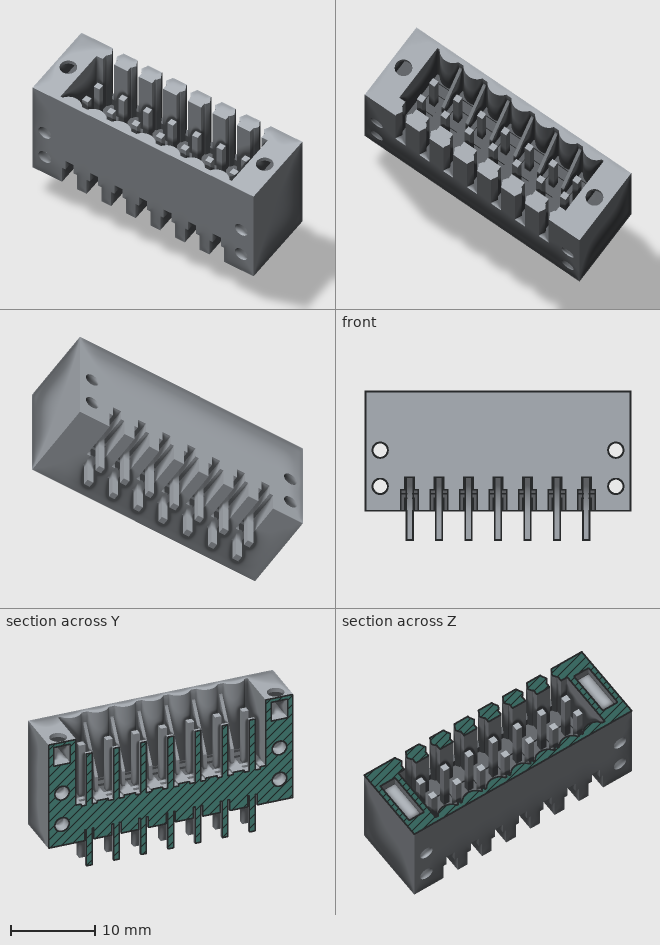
import cadquery as cq

length = 31.5
width = 10.5
height = 14.2
front_y = -width / 2
back_y = width / 2

columns = 7
pitch = 3.5
column_xs = [(i - (columns - 1) / 2) * pitch for i in range(columns)]
front_row_y = -1.5
row_spacing = 2.5
back_row_y = front_row_y + row_spacing

pin_size = 0.8
pin_tip_z = 11.9
pin_tail_length = 3.5

cavity_length = 24.4
cavity_floor_z = 5.2
front_wall = 0.65
back_wall = 2.1
cavity_front_y = front_y + front_wall
cavity_back_y = back_y - back_wall

ridge_chord = 2.75
ridge_rise = 0.75
ridge_crown_y = cavity_front_y + ridge_rise

slot_mouth_width = 1.6
slot_mouth_depth = 0.75
slot_shoulder_width = 1.35
slot_waist_width = 0.7
slot_waist_depth = 1.25
slot_outer_width = 1.45
slot_outer_depth = 0.15
slot_sill_rise = 1.0

recess_depth = 0.3
pin_recess_size = 2.0
strip_recess_length = 2.75
strip_recess_width = 0.65
strip_recess_gap = 0.1

rib_thickness = 0.4
rib_length = 3.65
rib_end_height = 2.0
rib_rise = 5.6

relief_wide = 2.1
relief_narrow = 1.15
front_relief_height = 2.5
front_relief_end_y = front_row_y + pin_size / 2
middle_relief_height = 2.0
middle_relief_end_y = (front_row_y + back_row_y) / 2
back_relief_height = 1.5
back_relief_end_y = back_row_y + pin_size / 2
pin_relief_height = 4.0

mount_x = 14.0
cross_hole_diameter = 1.8
cross_hole_zs = (2.9, 7.2)
screw_hole_diameter = 2.1
screw_hole_y = -0.2
screw_hole_depth = 0.55
nut_pocket_length = 6.0
nut_pocket_height = 2.5


def block(x_center, x_size, y_min, y_max, z_min, z_max):
    """Axis-aligned box, centred along X and bounded along Y and Z."""
    box = cq.Workplane("XY").box(x_size, y_max - y_min, z_max - z_min, centered=(True, False, False))
    return box.translate((x_center, y_min, z_min))


def ridge(x):
    """Circular-segment ridge on the front wall, full cavity height."""
    half = ridge_chord / 2
    profile = (
        cq.Workplane("XY", origin=(x, 0, cavity_floor_z))
        .moveTo(-half, cavity_front_y)
        .threePointArc((0, ridge_crown_y), (half, cavity_front_y))
        .lineTo(half, front_y + front_wall / 2)
        .lineTo(-half, front_y + front_wall / 2)
        .close()
    )
    return profile.extrude(height - cavity_floor_z)


def coding_slot(x):
    """Slot that narrows to a waist and flares again towards the back face."""
    shoulder_y = cavity_back_y + slot_mouth_depth
    waist_y = cavity_back_y + slot_waist_depth
    mouth = block(x, slot_mouth_width, cavity_back_y, shoulder_y, cavity_floor_z, height)
    neck = (
        cq.Workplane("XY", origin=(x, 0, cavity_floor_z))
        .moveTo(-slot_shoulder_width / 2, shoulder_y)
        .lineTo(slot_shoulder_width / 2, shoulder_y)
        .lineTo(slot_waist_width / 2, waist_y)
        .lineTo(-slot_waist_width / 2, waist_y)
        .close()
        .extrude(height - cavity_floor_z)
    )
    sill_z = cavity_floor_z + slot_sill_rise
    flare = (
        cq.Workplane("XY", origin=(x, 0, sill_z))
        .moveTo(-slot_waist_width / 2, waist_y)
        .lineTo(slot_waist_width / 2, waist_y)
        .lineTo(slot_outer_width / 2, back_y - slot_outer_depth)
        .lineTo(slot_outer_width / 2, back_y)
        .lineTo(-slot_outer_width / 2, back_y)
        .lineTo(-slot_outer_width / 2, back_y - slot_outer_depth)
        .close()
        .extrude(height - sill_z)
    )
    return mouth.union(neck).union(flare)


def floor_recesses(x):
    """Square recess around each pin and a strip recess behind the ridge."""
    bottom_z = cavity_floor_z - recess_depth
    half = pin_recess_size / 2
    strip_y = ridge_crown_y + strip_recess_gap
    recesses = block(x, strip_recess_length, strip_y, strip_y + strip_recess_width, bottom_z, cavity_floor_z)
    for y in (front_row_y, back_row_y):
        recesses = recesses.union(block(x, pin_recess_size, y - half, y + half, bottom_z, cavity_floor_z))
    return recesses


def rib(x):
    """Rib that slopes down from the front wall to a low blunt end."""
    end_top_z = cavity_floor_z + rib_end_height
    return (
        cq.Workplane("YZ", origin=(x - rib_thickness / 2, 0, 0))
        .moveTo(cavity_front_y, cavity_floor_z)
        .lineTo(cavity_front_y + rib_length, cavity_floor_z)
        .lineTo(cavity_front_y + rib_length, end_top_z)
        .lineTo(cavity_front_y, end_top_z + rib_rise)
        .close()
        .extrude(rib_thickness)
    )


def relief_slots(x):
    """Stepped clearance around the pin tails, lower towards the back."""
    slots = block(x, relief_wide, front_y, front_relief_end_y, 0, front_relief_height)
    slots = slots.union(block(x, relief_wide, front_y, middle_relief_end_y, 0, middle_relief_height))
    slots = slots.union(block(x, relief_narrow, front_y, back_relief_end_y, 0, back_relief_height))
    return slots.union(block(x, relief_narrow, front_y, front_relief_end_y, 0, pin_relief_height))


def pin(x, y):
    """Straight square pin from solder tail to mating tip."""
    half = pin_size / 2
    return block(x, pin_size, y - half, y + half, -pin_tail_length, pin_tip_z)


def mount_cuts(x):
    """Cross holes through the housing, and a screw hole that opens into a nut pocket."""
    radius = screw_hole_diameter / 2
    pocket_top = height - screw_hole_depth
    half_pocket = nut_pocket_length / 2
    cuts = cq.Workplane("XY", origin=(x, screw_hole_y, pocket_top)).circle(radius).extrude(screw_hole_depth)
    cuts = cuts.union(block(x, screw_hole_diameter, screw_hole_y - half_pocket, screw_hole_y + half_pocket,
                            pocket_top - nut_pocket_height, pocket_top))
    for z in cross_hole_zs:
        hole = cq.Workplane("XZ", origin=(x, back_y, z)).circle(cross_hole_diameter / 2).extrude(width)
        cuts = cuts.union(hole)
    return cuts


housing = block(0, length, front_y, back_y, 0, height)
housing = housing.cut(block(0, cavity_length, cavity_front_y, cavity_back_y, cavity_floor_z, height))
for x in column_xs:
    housing = housing.cut(coding_slot(x)).cut(floor_recesses(x)).cut(relief_slots(x))
    housing = housing.union(ridge(x))
for x in column_xs[:-1]:
    housing = housing.union(rib(x + pitch / 2))
for x in (-mount_x, mount_x):
    housing = housing.cut(mount_cuts(x))

result = housing
for x in column_xs:
    for y in (front_row_y, back_row_y):
        result = result.union(pin(x, y))